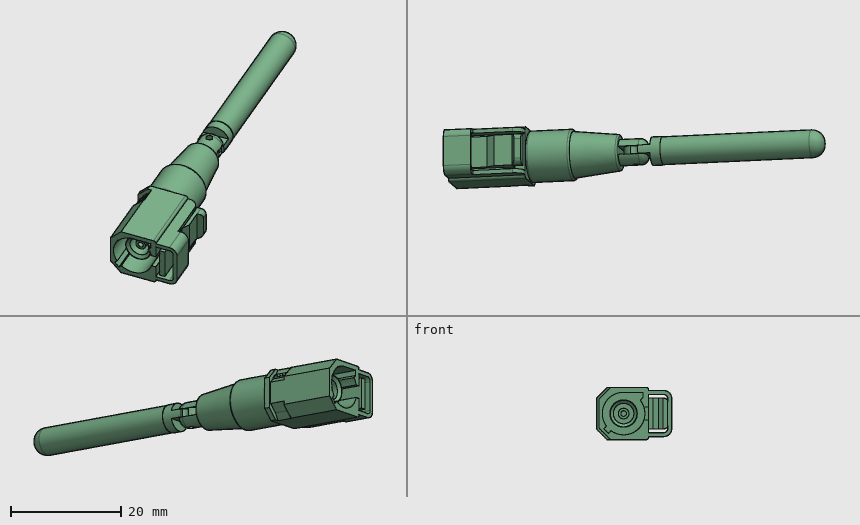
import cadquery as cq


housing_length = 14.3
housing_half_height = 4.75
housing_left = -4.5
housing_right = 4.55
corner_cut = 2.15
shoulder_fillet = 0.5

collar_length = 1.05
collar_thickness = 0.4
collar_corner_cut = 1.9

recess_length = 3.0
recess_half_inner = 2.0
recess_floor_run = 1.45
recess_top_x = -2.2
grip_pad_left = -3.7
grip_pad_height = 0.3

guard_half_height = 4.2
guard_wall = 0.75
guard_wall_reach = 6.75
guard_rear_fillet = 1.85
loop_reach = 8.8
loop_length = 5.05
loop_fillet = 1.5

tongue_half_width = 2.8
tongue_inner = 5.3
tongue_outer = 6.35
ramp_start = 7.6
ramp_end = 9.05
ramp_top = 7.2
knob_front = 12.4
knob_slope_end = 13.05
knob_top = 8.2
knob_fillet = 1.05
bridge_front = 10.35
bridge_rear = 12.4

socket_radius = 3.85
socket_depth = 9.65
key_side = 3.5
key_side_end = 2.9
code_slot_width = 1.2
code_slot_reach = 4.5
latch_slot_half_width = 1.2
contact_front = 2.35
contact_radius = 2.5
contact_bore_radius = 1.85
contact_mouth_bevel = 0.55
pin_front = 3.45
pin_radius = 1.0
pin_hole_radius = 0.52
pin_hole_depth = 2.1

barrel_radius = 4.7
barrel_end = 22.4
barrel_fillet = 0.35
cone_base_radius = 4.3
cone_tip_radius = 3.3
cone_end = 31.05
fork_radius = 2.4
fork_end = 36.2
fork_fillet = 1.4
fork_slot_half = 0.75
hinge_y = 34.1
hinge_hole_radius = 0.6

rod_end = 69.0
rod_radius = 2.55
rod_tip_fillet = 2.35
sleeve_radius = 2.6
sleeve_end = 38.9
rod_shoulder = 37.0
blade_shoulder = 34.8
notch_radius = 0.75


def box(x_range, y_range, z_range):
    """Box between two limits along each axis."""
    sizes = [high - low for low, high in (x_range, y_range, z_range)]
    corner = (x_range[0], y_range[0], z_range[0])
    return cq.Workplane("XY").box(*sizes, centered=False).translate(corner)


def along_y(y_start):
    """Sketch plane at y_start whose local axes are X and Z; extrude(-length) goes towards +Y."""
    return cq.Workplane("XZ", origin=(0, y_start, 0))


def cylinder(y_start, y_end, radius):
    """Cylinder along the Y axis."""
    return along_y(y_start).circle(radius).extrude(y_start - y_end)


def prism(points, y_start, y_end):
    """Prism along Y with an X-Z outline."""
    return along_y(y_start).polyline(points).close().extrude(y_start - y_end)


def chamfered_outline(left, cut):
    """Housing outline with its two left corners cut at 45 degrees."""
    return [
        (housing_right, -housing_half_height),
        (housing_right, housing_half_height),
        (left + cut, housing_half_height),
        (left, housing_half_height - cut),
        (left, cut - housing_half_height),
        (left + cut, -housing_half_height),
    ]


def make_housing_shell():
    shell = prism(chamfered_outline(housing_left, corner_cut), 0, housing_length)
    shell = shell.edges("|Y and >X").fillet(shoulder_fillet)
    recess_end = housing_length - collar_length
    for side in (1, -1):
        shell = shell.cut(make_grip_recess(recess_end - recess_length, recess_end, side))
    shell = shell.union(make_grip_pad(recess_end - recess_length, recess_end))
    return shell.union(make_collar(recess_end))


def make_collar(y_start):
    outline = chamfered_outline(housing_left - collar_thickness, collar_corner_cut)
    collar = prism(outline, y_start, housing_length)
    return collar.edges("|Y and >X").fillet(shoulder_fillet)


def make_grip_recess(y_start, y_end, side):
    """Cutter for one chamfered corner: a 45 degree floor and a steeper end wall."""
    floor_end = (housing_left + recess_floor_run, side * (recess_half_inner + recess_floor_run))
    points = [
        (housing_left, side * recess_half_inner),
        floor_end,
        (recess_top_x, side * housing_half_height),
        (housing_left, side * housing_half_height),
    ]
    return prism(points, y_start, y_end)


def make_grip_pad(y_start, y_end):
    """Raised pad on the floor of the upper grip recess."""
    pad_right = housing_left + recess_floor_run
    floor_offset = recess_half_inner - housing_left
    points = [
        (grip_pad_left, grip_pad_left + floor_offset),
        (grip_pad_left, grip_pad_left + floor_offset + grip_pad_height),
        (pad_right, pad_right + floor_offset + grip_pad_height),
        (pad_right, pad_right + floor_offset),
    ]
    return prism(points, y_start, y_end)


def make_latch_guard():
    walls = box(
        (0, guard_wall_reach),
        (0, housing_length),
        (-guard_half_height, guard_half_height),
    )
    walls = walls.edges("|Z and >X and >Y").fillet(guard_rear_fillet)
    loop = box(
        (0, loop_reach),
        (0, loop_length),
        (-guard_half_height, guard_half_height),
    )
    loop = loop.edges("|Y and >X").fillet(loop_fillet)
    window_half = guard_half_height - guard_wall
    window = box(
        (0, loop_reach - guard_wall),
        (0, housing_length),
        (-window_half, window_half),
    )
    window = window.edges("|Y and >X").fillet(loop_fillet - guard_wall)
    return walls.union(loop).cut(window)


def make_latch_tongue():
    """Sprung tongue with a ramp and an end knob, held by a bridge to the housing."""
    profile = [
        (tongue_inner, 0),
        (tongue_outer, 0),
        (tongue_outer, ramp_start),
        (ramp_top, ramp_end),
        (ramp_top, knob_front),
        (knob_top, knob_slope_end),
        (knob_top, housing_length),
        (tongue_outer, housing_length),
        (tongue_outer, bridge_rear),
        (tongue_inner, bridge_rear),
    ]
    tongue = (
        cq.Workplane("XY", origin=(0, 0, -tongue_half_width))
        .polyline(profile)
        .close()
        .extrude(2 * tongue_half_width)
    )
    tongue = tongue.edges("|Y and >X").fillet(knob_fillet)
    bridge = box(
        (housing_right - shoulder_fillet, tongue_inner),
        (bridge_front, bridge_rear),
        (-tongue_half_width, tongue_half_width),
    )
    return tongue.union(bridge)


def make_socket():
    """Cutter for the socket with its keyway, coding slot and latch slot."""
    keyway_run = key_side_end / 2
    keyway = prism(
        [
            (0, 0),
            (0, socket_radius),
            (key_side, socket_radius),
            (key_side, key_side_end),
            (key_side - keyway_run, key_side_end - keyway_run),
        ],
        0,
        socket_depth,
    )
    code_slot = box(
        (-code_slot_reach, 0),
        (0, socket_depth),
        (-code_slot_width / 2, code_slot_width / 2),
    ).rotate((0, 0, 0), (0, 1, 0), -45)
    latch_slot = box(
        (0, housing_right),
        (0, loop_length),
        (-latch_slot_half_width, latch_slot_half_width),
    )
    socket = cylinder(0, socket_depth, socket_radius)
    return socket.union(keyway).union(code_slot).union(latch_slot)


def make_contacts():
    """Outer contact tube with a bevelled mouth, and the hollow centre pin inside it."""
    tube = cylinder(contact_front, socket_depth, contact_radius)
    tube = tube.cut(cylinder(contact_front, socket_depth, contact_bore_radius))
    inner_rim = tube.faces("<Y").edges(cq.selectors.RadiusNthSelector(0))
    tube = inner_rim.chamfer(contact_mouth_bevel)
    pin = cylinder(pin_front, socket_depth, pin_radius)
    pin = pin.cut(cylinder(pin_front, pin_front + pin_hole_depth, pin_hole_radius))
    return tube.union(pin)


def make_barrel_and_cone():
    barrel = cylinder(housing_length, barrel_end, barrel_radius)
    barrel = barrel.faces("<Y or >Y").edges().fillet(barrel_fillet)
    cone = (
        cq.Workplane("XY")
        .polyline([
            (0, barrel_end),
            (cone_base_radius, barrel_end),
            (cone_tip_radius, cone_end),
            (0, cone_end),
        ])
        .close()
        .revolve(360, (0, 0, 0), (0, 1, 0))
    )
    cone = cone.faces(">Y").edges().fillet(barrel_fillet)
    return barrel.union(cone)


def make_fork():
    """Round-ended fork, slotted for the blade and drilled on the hinge axis."""
    fork = cylinder(cone_end, fork_end, fork_radius)
    fork = fork.faces(">Y").edges().fillet(fork_fillet)
    slot = box(
        (-fork_radius, fork_radius),
        (cone_end, fork_end),
        (-fork_slot_half, fork_slot_half),
    )
    hinge_hole = (
        cq.Workplane("XY")
        .center(0, hinge_y)
        .circle(hinge_hole_radius)
        .extrude(fork_radius, both=True)
    )
    return fork.cut(slot).cut(hinge_hole)


def make_connector():
    connector = make_housing_shell().union(make_latch_guard())
    connector = connector.cut(make_socket())
    connector = connector.union(make_latch_tongue()).union(make_contacts())
    return connector.union(make_barrel_and_cone()).union(make_fork())


def make_blade():
    """Flat hinge blade: full rod width, then a disc about the hinge with a notch on each side."""
    root = cylinder(blade_shoulder, rod_shoulder, sleeve_radius).intersect(
        box(
            (-sleeve_radius, sleeve_radius),
            (blade_shoulder, rod_shoulder),
            (-fork_slot_half, fork_slot_half),
        )
    )
    hinge_plane = cq.Workplane("XY", origin=(0, hinge_y, -fork_slot_half))
    thickness = 2 * fork_slot_half
    disc = hinge_plane.circle(fork_radius).extrude(thickness)
    notches = (
        hinge_plane.pushPoints([(-fork_radius, 0), (fork_radius, 0)])
        .circle(notch_radius)
        .extrude(thickness)
    )
    return disc.cut(notches).union(root)


def make_antenna():
    rod = cylinder(rod_shoulder, rod_end, rod_radius)
    rod = rod.faces(">Y").edges().fillet(rod_tip_fillet)
    sleeve = cylinder(rod_shoulder, sleeve_end, sleeve_radius)
    return rod.union(sleeve).union(make_blade())


connector = make_connector()
antenna = make_antenna()

result = cq.Compound.makeCompound([connector.val(), antenna.val()])